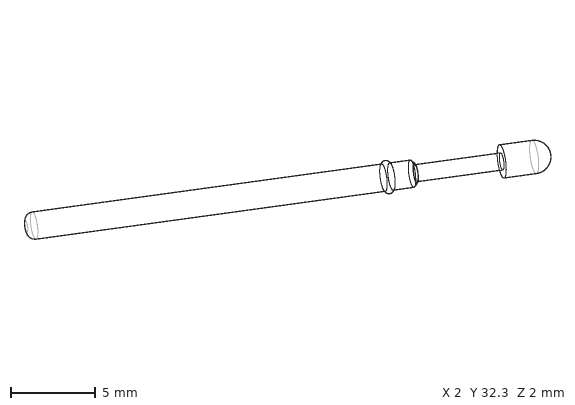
import cadquery as cq
import math

length = 32.3
head_radius = 1.0
head_length = 3.0
plunger_radius = 0.52
barrel_radius = 0.825
barrel_length = 24.0
mouth_chamfer = 0.23
tail_radius = 0.5
ring_radius = 1.0
ring_bead = 0.25
ring_from_tail = 22.25

tail_y = -length / 2
tip_y = length / 2
mouth_y = tail_y + barrel_length
head_y = tip_y - head_length
dome_y = tip_y - head_radius
ring_y = tail_y + ring_from_tail

diagonal = math.sqrt(0.5)


def revolve_around_axis(profile):
    return profile.close().revolve(360, (0, 0, 0), (0, 1, 0))


def make_barrel():
    """Closed tube body with a rounded tail and a bevelled mouth."""
    flat_radius = barrel_radius - tail_radius
    tail_middle = (
        flat_radius + tail_radius * diagonal,
        tail_y + tail_radius * (1 - diagonal),
    )
    profile = (
        cq.Workplane("XY")
        .moveTo(0, tail_y)
        .lineTo(flat_radius, tail_y)
        .threePointArc(tail_middle, (barrel_radius, tail_y + tail_radius))
        .lineTo(barrel_radius, mouth_y - mouth_chamfer)
        .lineTo(barrel_radius - mouth_chamfer, mouth_y)
        .lineTo(0, mouth_y)
    )
    return revolve_around_axis(profile)


def make_ring():
    """Rounded stop ring standing proud of the barrel."""
    centre_radius = ring_radius - ring_bead
    profile = (
        cq.Workplane("XY")
        .moveTo(0, ring_y - ring_bead)
        .lineTo(centre_radius, ring_y - ring_bead)
        .threePointArc((ring_radius, ring_y), (centre_radius, ring_y + ring_bead))
        .lineTo(0, ring_y + ring_bead)
    )
    return revolve_around_axis(profile)


def make_plunger():
    """Thin shaft carrying a cylindrical head with a hemispherical tip."""
    dome_middle = (head_radius * diagonal, dome_y + head_radius * diagonal)
    profile = (
        cq.Workplane("XY")
        .moveTo(0, mouth_y)
        .lineTo(plunger_radius, mouth_y)
        .lineTo(plunger_radius, head_y)
        .lineTo(head_radius, head_y)
        .lineTo(head_radius, dome_y)
        .threePointArc(dome_middle, (0, tip_y))
    )
    return revolve_around_axis(profile)


result = make_barrel().union(make_ring()).union(make_plunger())